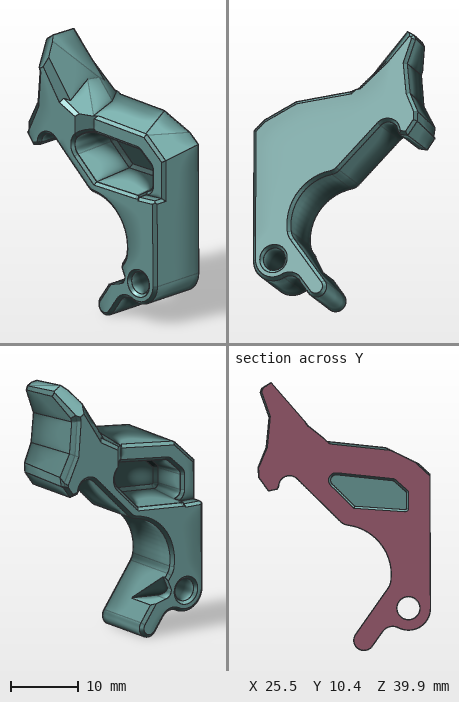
import cadquery as cq
import math


THICKNESS = 10.4
EDGE_CHAMFER = 0.48

PIVOT_HOLE_DIAMETER = 3.4
PIVOT_CHAMFER = 0.45
PIVOT_BOSS_RADIUS = 3.27
NECK_ANGLE = -145.0
NECK_FILLET = 1.8

TOE_CENTER = (-6.6, -4.75)
TOE_RADIUS = 1.5
ARM_ANGLE = 54.4

GRIP_CENTER = (-9.9, 5.0)
GRIP_RADIUS = 7.35
GRIP_START_ANGLE = 87.5
GRIP_END_ANGLE = -12.7
GRIP_TOP_FILLET = 2.0
GRIP_ARM_FILLET = 2.4

HOOK_CENTER = (-17.6, 18.0)
HOOK_RADIUS = 1.6
UNDERSIDE_NORMAL_ANGLE = 45.5

THUMB_EDGE = [(-21.7, 32.5), (-21.95, 31.9), (-20.62, 28.25), (-21.05, 23.75), (-22.25, 20.82), (-22.18, 19.4)]
HOOK_CORNERS = [(-20.7, 17.3), (-19.43, 17.6)]
TIP_APEX = (-19.8, 33.7)
TIP_BACK = (-18.6, 32.15)
NAPE = (-14.75, 26.93)
ROOF_START = (-11.9, 24.65)
ROOF_END = (-3.45, 23.77)
SHOULDER = (1.55, 21.35)
BACK_TOP = (3.2, 19.83)

RECESS_DEPTH = 2.05
RECESS_LEFT = -12.35
LEDGE_HEIGHT = 13.15
RECESS_CHAMFER = 0.45
CLEAR_RIGHT = 7.98
CLEAR_TOP = 39.9
RECESS_OUTLINE = [
    (-13.95, CLEAR_TOP),
    (-13.95, 19.15),
    (-8.18, 14.55),
    (-0.4, 13.8),
    (-0.2, LEDGE_HEIGHT),
    (CLEAR_RIGHT, LEDGE_HEIGHT),
    (CLEAR_RIGHT, CLEAR_TOP),
]

POCKET_DEPTH = 8.05
POCKET_DRAFT = 4.8
POCKET_RIM_CHAMFER = 0.45
RIM_ANGLE = 45.0
POCKET_FLOOR_CHAMFER = 0.5
POCKET_OUTLINE = [(-16.2, 21.5), (-1.68, 20.0), (0.9, 17.67), (0.9, 13.3), (-8.45, 13.92)]
POCKET_CORNER_RADII = [2.0, 1.28, 1.28, 1.4]

NOTCH_OUTLINE_START = (-9.9, -2.45)
NOTCH_FLOOR_END = (-3.63, -0.75)
NOTCH_ARC_MIDDLE = (-2.87, -0.28)
NOTCH_SIDE_START = (-2.67, 0.6)
NOTCH_SIDE_END = (-3.35, 2.2)
NOTCH_OUTLINE_END = (-5.75, 7.8)
NOTCH_SIDE_DEPTH = 1.0
NOTCH_TIP = (-5.9, 5.2, -1.35)

VALLEY_TOP = (-14.9, 8.4, 27.1)
VALLEY_LOW = (-14.15, 1.1, 25.2)
STRIP_END = (-17.35, 10.05, 28.72)
ROOF_CORNER = (-12.85, 10.05, 24.77)

REACH = 79.78


def polar(center, radius, degrees):
    """Point on a circle in the XZ plane."""
    angle = math.radians(degrees)
    return (center[0] + radius * math.cos(angle), center[1] + radius * math.sin(angle))


def flip(point):
    """(x, z) point in the local axes of xz_plane."""
    return (point[0], -point[1])


def xz_plane(y):
    """Plane at depth y whose normal points to +Y and whose local axes are X and -Z."""
    return cq.Plane(origin=(0, y, 0), xDir=(1, 0, 0), normal=(0, 1, 0))


def profile(points, y):
    """Closed polygon of (x, z) points at depth y, ready to extrude to +Y."""
    return cq.Workplane(xz_plane(y)).polyline([flip(point) for point in points]).close()


def ruled_solid(sections):
    """Ruled solid through (y, points) polygons that have equal point counts."""
    wires = [profile(points, y).val() for y, points in sections]
    return cq.Workplane(cq.Solid.makeLoft(wires, True))


def above_plane(p, q, r):
    """Everything above the plane through three points."""
    normal = (cq.Vector(*q) - cq.Vector(*p)).cross(cq.Vector(*r) - cq.Vector(*p))
    if normal.z < 0:
        normal = -normal
    plane = cq.Plane(origin=p, xDir=cq.Vector(*q) - cq.Vector(*p), normal=normal)
    return cq.Workplane(plane).rect(2 * REACH, 2 * REACH).extrude(REACH)


def left_of(x):
    """Everything on the -X side of x."""
    return cq.Workplane("XY").box(REACH, REACH, REACH).translate((x - REACH / 2, 0, 0))


def trim(body, planes):
    """Remove what lies above each plane."""
    for points in planes:
        body = body.cut(above_plane(*points))
    return body


def fillet_corner(body, point, radius):
    """Round the edge along Y that passes nearest to an (x, z) point."""
    nearest = cq.NearestToPointSelector((point[0], THICKNESS / 2, point[1]))
    return body.edges("|Y").edges(nearest).fillet(radius)


def make_lever():
    """Full outline, with the back and front edges chamfered."""
    neck = polar((0, 0), PIVOT_BOSS_RADIUS, NECK_ANGLE)
    grip_start = polar(GRIP_CENTER, GRIP_RADIUS, GRIP_START_ANGLE)
    grip_middle = polar(GRIP_CENTER, GRIP_RADIUS, (GRIP_START_ANGLE + GRIP_END_ANGLE) / 2)
    grip_end = polar(GRIP_CENTER, GRIP_RADIUS, GRIP_END_ANGLE)

    outline = cq.Workplane(xz_plane(0)).moveTo(*flip(TIP_APEX))
    for point in THUMB_EDGE + HOOK_CORNERS + [polar(HOOK_CENTER, HOOK_RADIUS, 180)]:
        outline = outline.lineTo(*flip(point))
    outline = outline.threePointArc(
        flip(polar(HOOK_CENTER, HOOK_RADIUS, (180 + UNDERSIDE_NORMAL_ANGLE) / 2)),
        flip(polar(HOOK_CENTER, HOOK_RADIUS, UNDERSIDE_NORMAL_ANGLE)),
    )
    outline = outline.lineTo(*flip(grip_start)).threePointArc(flip(grip_middle), flip(grip_end))
    outline = outline.lineTo(*flip(polar(TOE_CENTER, TOE_RADIUS, ARM_ANGLE + 90)))
    outline = outline.threePointArc(
        flip(polar(TOE_CENTER, TOE_RADIUS, ARM_ANGLE + 180)),
        flip(polar(TOE_CENTER, TOE_RADIUS, ARM_ANGLE - 90)),
    )
    outline = outline.lineTo(*flip(neck)).threePointArc(
        flip(polar((0, 0), PIVOT_BOSS_RADIUS, NECK_ANGLE / 2)),
        (PIVOT_BOSS_RADIUS, 0),
    )
    for point in [BACK_TOP, SHOULDER, ROOF_END, ROOF_START, NAPE, TIP_BACK]:
        outline = outline.lineTo(*flip(point))
    body = outline.close().extrude(THICKNESS)

    body = fillet_corner(body, grip_start, GRIP_TOP_FILLET)
    body = fillet_corner(body, grip_end, GRIP_ARM_FILLET)
    body = fillet_corner(body, neck, NECK_FILLET)
    return body.faces("<Y or >Y").chamfer(EDGE_CHAMFER)


def thumb_cutter():
    """Tool for the flared thumb face and its stepped front chamfer."""
    flared = [(-20.75, 33.03), (-21.15, 32.25), (-20.0, 28.65), (-20.4, 23.8), (-22.1, 20.45), (-21.9, 19.05)]
    step = [(-20.35, 33.3), (-20.45, 32.45), (-19.4, 28.72), (-19.75, 23.55), (-21.7, 19.63), (-21.65, 19.05)]
    front = [(-20.15, 33.5), (-19.95, 32.63), (-19.0, 28.85), (-19.43, 23.4), (-21.35, 19.35), (-21.25, 19.0)]
    step_depth = 0.5
    tip_face = (3.95, 2.67)
    outside = [(-27.92, 17.95), (-27.92, CLEAR_TOP)]
    edges = [
        (THICKNESS - EDGE_CHAMFER, THUMB_EDGE),
        (2 * step_depth, flared),
        (step_depth, step),
        (0, front),
    ]
    sections = []
    for y, edge in edges:
        tip_end = (edge[0][0] + tip_face[0], edge[0][1] + tip_face[1])
        sections.append((y, [tip_end] + edge + outside))
    return ruled_solid(sections)


def cut_tip(lever):
    """Slope the front of the tip at 45 degrees and chamfer it on the thumb side."""
    slope_apex = (TIP_APEX[0], 3.95, TIP_APEX[1])
    return trim(lever, [
        ((-20.9, 3.95, 32.95), slope_apex, (-18.4, 0, 29.95)),
        ((-21.1, 3.95, 32.95), (-19.65, 0.5, 29.65), (-20.15, 1.0, 29.25)),
    ])


def make_head(lever):
    """Thumb hook: the lever trimmed behind its tip."""
    rear_apex = (-19.03, 3.3, 32.65)
    tip_rear = (-20.4, 9.3, 33.23)
    return trim(lever, [
        (rear_apex, VALLEY_TOP, tip_rear),
        (rear_apex, VALLEY_TOP, VALLEY_LOW),
        (tip_rear, (-14.3, 9.25, 26.25), STRIP_END),
        (STRIP_END, (-20.4, 10.05, 32.07), (-17.35, THICKNESS, 28.15)),
        ((-18.1, 1.1, 31.45), VALLEY_LOW, (-15.3, 0, 24.9)),
    ])


def make_ramp(lever):
    """Lower lever up to the facets that climb from the block to the thumb hook."""
    valley_middle = (-15.1, 6.2, 27.15)
    rib_top = (-11.35, 7.45, 24.2)
    rib_low = (-10.55, 2.1, 23.45)
    return trim(lever, [
        (VALLEY_TOP, rib_top, ROOF_CORNER),
        (valley_middle, rib_low, rib_top),
        (valley_middle, rib_low, VALLEY_LOW),
        (ROOF_CORNER, STRIP_END, (-17.35, THICKNESS, 28.25)),
        ((-15.3, 0, 24.95), (-12.35, 0, 23.38), (-15.2, 0.48, 25.5)),
    ])


def make_block(lever):
    """Lower lever up to the roof of the block and its two falling facets."""
    roof_end = (-3.45, 10.05, 23.77)
    shoulder = (1.55, 10.05, 21.35)
    return trim(lever, [
        (ROOF_CORNER, roof_end, (-10.25, 2.4, 23.4)),
        (roof_end, shoulder, (-0.45, 2.4, 22.3)),
        (shoulder, (3.2, 10.05, 19.83), (-0.45, 2.4, 22.35)),
    ])


def cut_recess(body):
    """Step the front face back around the pocket, with a 45 degree wall on the left."""
    plan = [
        (RECESS_LEFT, 0),
        (RECESS_LEFT + RECESS_DEPTH, RECESS_DEPTH),
        (CLEAR_RIGHT, RECESS_DEPTH),
        (CLEAR_RIGHT, 0),
    ]
    wall = cq.Workplane("XY").polyline(plan).close().extrude(CLEAR_TOP)
    return body.cut(wall.intersect(profile(RECESS_OUTLINE, 0).extrude(RECESS_DEPTH)))


def chamfer_recess(body):
    """Chamfer the front edges of the block, and the front and right edges of the ledge."""
    edge_points = [
        (-5.6, RECESS_DEPTH, 22.65),
        (1.4, RECESS_DEPTH, 20.6),
        (BACK_TOP[0], RECESS_DEPTH, 15.95),
        (1.6, 0, LEDGE_HEIGHT),
        (BACK_TOP[0], RECESS_DEPTH / 2, LEDGE_HEIGHT),
    ]
    for point in edge_points:
        body = body.edges(cq.NearestToPointSelector(point)).chamfer(RECESS_CHAMFER)
    return body


def pocket_frustum(y, spread, depth, taper):
    """Round-cornered pocket shape from depth y, widened by spread and narrowing inward."""
    outline = profile(POCKET_OUTLINE, y).val()
    for (x, z), radius in zip(POCKET_OUTLINE, POCKET_CORNER_RADII):
        corner = min(outline.Vertices(), key=lambda vertex: math.hypot(vertex.X - x, vertex.Z - z))
        outline = outline.fillet2D(radius, [corner])
    if spread:
        outline = outline.offset2D(spread, "intersection")[0]
    return cq.Workplane(xz_plane(y)).add(outline).toPending().extrude(depth, taper=taper)


def cut_pocket(body):
    """Drafted pocket with chamfers at its rim and floor."""
    rim = POCKET_RIM_CHAMFER
    pocket = pocket_frustum(0, 0, POCKET_DEPTH, POCKET_DRAFT)
    body = body.cut(pocket.faces(">Y").chamfer(POCKET_FLOOR_CHAMFER))
    body = body.cut(pocket_frustum(0, rim, rim, RIM_ANGLE))

    spread = rim - RECESS_DEPTH * math.tan(math.radians(POCKET_DRAFT))
    wall_end = RECESS_LEFT + RECESS_DEPTH
    recessed_region = profile(RECESS_OUTLINE, 0).extrude(THICKNESS).cut(left_of(wall_end))
    recessed_rim = pocket_frustum(RECESS_DEPTH, spread, rim, RIM_ANGLE)
    body = body.cut(recessed_rim.intersect(recessed_region))

    shear = cq.Matrix([[1, 0, 0, 0], [1, 1, 0, -RECESS_LEFT], [0, 0, 1, 0]])
    wall_rim = pocket_frustum(0, rim, rim, RIM_ANGLE).val().transformGeometry(shear)
    wall_region = left_of(wall_end).cut(left_of(RECESS_LEFT)).translate((0, 0, REACH / 2 + HOOK_CENTER[1]))
    return body.cut(wall_region.intersect(cq.Workplane(wall_rim)))


def notch_cutter():
    """Round-ended notch in the arm, closed by a sloping plane."""
    prism = (
        cq.Workplane(xz_plane(0))
        .moveTo(*flip(NOTCH_OUTLINE_START))
        .lineTo(*flip(NOTCH_FLOOR_END))
        .threePointArc(flip(NOTCH_ARC_MIDDLE), flip(NOTCH_SIDE_START))
        .lineTo(*flip(NOTCH_SIDE_END))
        .lineTo(*flip(NOTCH_OUTLINE_END))
        .close()
        .extrude(THICKNESS / 2)
    )
    side_start, side_end = [(x, NOTCH_SIDE_DEPTH, z) for x, z in (NOTCH_SIDE_START, NOTCH_SIDE_END)]
    return prism.cut(above_plane(side_end, side_start, NOTCH_TIP))


def pivot_cutter():
    """Through hole with a chamfer at both ends."""
    radius = PIVOT_HOLE_DIAMETER / 2
    half = [
        (0, 0),
        (radius + PIVOT_CHAMFER, 0),
        (radius, PIVOT_CHAMFER),
        (radius, THICKNESS - PIVOT_CHAMFER),
        (radius + PIVOT_CHAMFER, THICKNESS),
        (0, THICKNESS),
    ]
    return cq.Workplane("XY").polyline(half).close().revolve(360, (0, 0, 0), (0, 1, 0))


lever = cut_tip(make_lever().cut(thumb_cutter()))
body = make_head(lever).union(make_ramp(lever)).union(make_block(lever))
body = cut_recess(body)
body = chamfer_recess(body)
body = cut_pocket(body)
result = body.cut(notch_cutter()).cut(pivot_cutter())